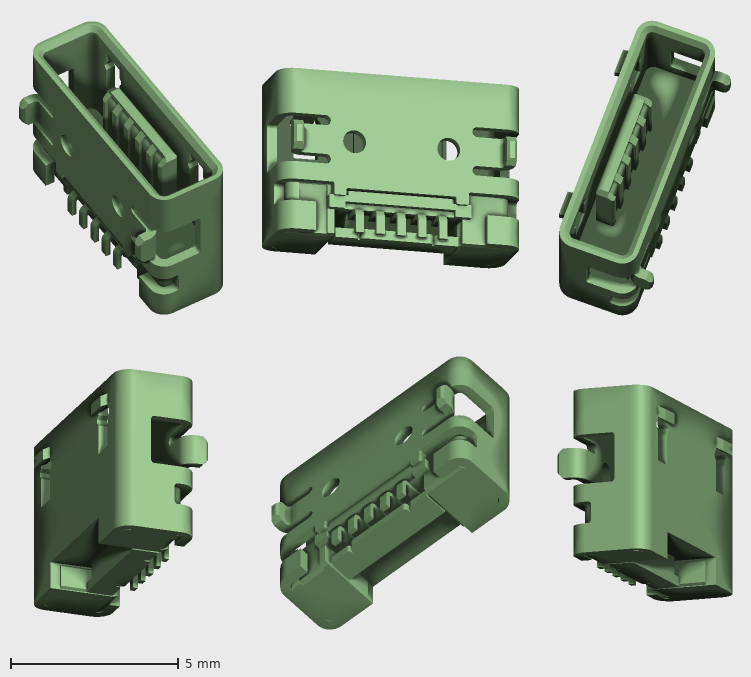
import cadquery as cq
import math


SHELL_WIDTH = 7.52
SHELL_DEPTH = 2.48
SHELL_HEIGHT = 5.0
WALL = 0.31
SHELL_CORNER = 0.505
MOUTH_CHAMFER = 0.16
HALF_WIDTH = SHELL_WIDTH / 2
INNER_HALF = HALF_WIDTH - WALL
INNER_BACK = SHELL_DEPTH - WALL

WINDOW_BOTTOM = 2.1
WINDOW_TOP = 3.6
WINDOW_BACK = 1.475
WINDOW_FILLET = 0.1
LEG_BOTTOM = 2.39
LEG_TOP = 3.29
SLOT_END = 2.195
LEG_BEND = 0.12
LEG_REACH = 0.5
LEG_TIP_CHAMFER = 0.19
LEG_EDGE_CHAMFER = 0.075
LEG_OUTER = INNER_HALF
LEG_INNER = LEG_OUTER - WALL
BEND_X = LEG_INNER - LEG_BEND

HOOK_TOP = 0.89
HOOK_END = 2.66
HOOK_GAP_TOP = 1.55
HOOK_GAP_BACK = 0.72
HOOK_GAP_FILLET = 0.105
TAB_OUTER = 2.08
TAB_INNER = 1.71
TAB_BOTTOM = 1.16
TAB_FILLET = 0.06
NOTCH_TOP = 1.38

HOLE_RADIUS = 0.35
HOLE_X = 1.46
HOLE_Z = 2.84

BACK_WINDOW_X = 2.38
BACK_WINDOW_HALF = 0.375
BACK_WINDOW_TOP = 4.53
BACK_WINDOW_BOTTOM = 2.86
RELIEF_TOP = 4.105
RELIEF_BOTTOM = 3.77
RELIEF_DEPTH = 0.105
LIP_REACH = 0.23
LIP_SLOPE = math.radians(26)
LIP_BEND = 0.3

HOUSING_FRONT = 0.33
HOUSING_TOP = HOOK_GAP_TOP
HOUSING_CORNER = 0.26
BEVEL_HEIGHT = 0.045
BEVEL_DEPTH = 0.15
SIDE_NOTCH_OUTER = 3.09
SIDE_NOTCH_INNER = 2.2
SIDE_NOTCH_BACK = 0.435
TUNNEL_HALF = 1.985
TUNNEL_TOP = 0.83
RIB_HEIGHT = 0.08
RIB_FRONT = 0.565
RIB_BOTTOM = 0.02
RIB_TOP = 0.78
RIB_BEVEL = 0.07
BLOCK_FRONT = 0.12
BLOCK_BOTTOM = 0.8
BLOCK_TOP = 1.195
CREST_HALF = 1.62
CREST_TOP = 1.34
BLOCK_RECESS_TOP = 1.0

SILL_TOP = 0.29
SILL_FRONT = 0.53
SILL_CENTER_FRONT = 0.46
SILL_BACK = 1.35
GROOVE_INNER = 1.12
GROOVE_OUTER = 1.17
GROOVE_DEPTH = 0.15
GROOVE_LIP = 0.12
WEDGE_HALF = 1.49
WEDGE_TOP_FRONT = 0.83
WEDGE_BOTTOM_FRONT = 1.13

TONGUE_HALF = 1.685
TONGUE_FRONT = 1.36
TONGUE_BACK = 1.96
TONGUE_TOP = 4.23
TONGUE_EDGE_FILLET = 0.1
TONGUE_BACK_ROUND = 0.19
TONGUE_END_CHAMFER = 0.15
TONGUE_END_DROP = 0.15
TOOTH_BACK = 1.58
TOOTH_TOP = 4.13
TOOTH_FRONT_TOP = 3.91
CONTACT_COUNT = 5
CONTACT_PITCH = 0.65
CONTACT_WIDTH = 0.4
CONTACT_FRONT = 1.46
CONTACT_TOP = 4.02
CONTACT_ROUND = 0.3
TAIL_WIDTH = 0.255
TAIL_THICKNESS = 0.15
TAIL_BEND = 0.28
TAIL_BOTTOM = 0.045

SELECT_MARGIN = 0.075


def block(x_range, y_range, z_range):
    """Axis-aligned box between two corners."""
    size = [high - low for low, high in (x_range, y_range, z_range)]
    corner = (x_range[0], y_range[0], z_range[0])
    return cq.Workplane("XY").box(*size, centered=False).translate(corner)


def around(x_range, y_range, z_range):
    """Selector for the edges lying within the given ranges."""
    ranges = (x_range, y_range, z_range)
    low = [start - SELECT_MARGIN for start, end in ranges]
    high = [end + SELECT_MARGIN for start, end in ranges]
    return cq.selectors.BoxSelector(low, high)


def both_sides(solid):
    """The solid together with its mirror image across X = 0."""
    return solid.union(solid.mirror("YZ"))


def front_outline(points, y_start, y_end):
    """Outline of (x, z) points extruded from y_start back to y_end."""
    plane = cq.Workplane("XZ", origin=(0, y_start, 0))
    return plane.polyline(points).close().extrude(y_start - y_end)


def side_sketch(x_start):
    """Workplane whose local axes are Y and Z, placed at x_start."""
    return cq.Workplane("YZ", origin=(x_start, 0, 0))


def shell_tube():
    center = (0, SHELL_DEPTH / 2)
    outer = (
        cq.Workplane("XY").center(*center)
        .rect(SHELL_WIDTH, SHELL_DEPTH).extrude(SHELL_HEIGHT)
        .edges("|Z").fillet(SHELL_CORNER)
    )
    bore = (
        cq.Workplane("XY").center(*center)
        .rect(2 * INNER_HALF, SHELL_DEPTH - 2 * WALL).extrude(SHELL_HEIGHT)
        .edges("|Z").fillet(SHELL_CORNER - WALL)
    )
    bore_rim = around(
        (-INNER_HALF, INNER_HALF), (WALL, INNER_BACK), (SHELL_HEIGHT, SHELL_HEIGHT)
    )
    return outer.cut(bore).faces(">Z").edges(bore_rim).chamfer(MOUTH_CHAMFER)


def side_opening(back, bottom, top, fillet):
    """Cutter for the -X side: through the side wall and the front corner."""
    cutter = block((-HALF_WIDTH, -BEND_X), (0, back), (bottom, top))
    return cutter.edges("|X and >Y").fillet(fillet)


def leg_slot(bottom, top):
    """Round-ended slot in the front wall beside a leg."""
    radius = (top - bottom) / 2
    end_x = -SLOT_END - radius
    slot = block((-HALF_WIDTH, end_x), (0, WALL), (bottom, top))
    round_end = (
        cq.Workplane("XZ", origin=(end_x, 0, bottom + radius)).circle(radius).extrude(-WALL)
    )
    return slot.union(round_end)


def front_bottom_cut():
    """Everything removed below the stepped lower edge of the front wall, except the hooks."""
    points = [
        (-HOOK_END, 0), (-HOOK_END, HOOK_GAP_TOP), (-TAB_OUTER, HOOK_GAP_TOP),
        (-TAB_OUTER, TAB_BOTTOM), (-TAB_INNER, TAB_BOTTOM), (-TAB_INNER, NOTCH_TOP),
        (TAB_INNER, NOTCH_TOP), (TAB_INNER, TAB_BOTTOM), (TAB_OUTER, TAB_BOTTOM),
        (TAB_OUTER, HOOK_GAP_TOP), (HOOK_END, HOOK_GAP_TOP), (HOOK_END, 0),
    ]
    cutter = front_outline(points, 0, WALL)
    tab_edges = around((-TAB_OUTER, TAB_OUTER), (0, WALL), (TAB_BOTTOM, HOOK_GAP_TOP))
    return cutter.edges("|Y").edges(tab_edges).fillet(TAB_FILLET)


def back_window():
    """Window in the back wall with a small relief notch on either side."""
    half = BACK_WINDOW_HALF
    wide = half + RELIEF_DEPTH
    right = [
        (half, BACK_WINDOW_BOTTOM), (half, RELIEF_BOTTOM),
        (wide, RELIEF_BOTTOM + RELIEF_DEPTH), (wide, RELIEF_TOP - RELIEF_DEPTH),
        (half, RELIEF_TOP), (half, BACK_WINDOW_TOP),
    ]
    left = [(-x, z) for x, z in reversed(right)]
    points = [(x - BACK_WINDOW_X, z) for x, z in right + left]
    return front_outline(points, INNER_BACK, SHELL_DEPTH)


def back_lip():
    """Strip that leaves the top edge of a back window and bends outward and down."""
    fall = math.tan(LIP_SLOPE)
    tip = SHELL_DEPTH + LIP_REACH
    tip_top = BACK_WINDOW_TOP - LIP_REACH * fall
    tip_bottom = tip_top - WALL / math.cos(LIP_SLOPE)
    turn = math.pi / 2 - LIP_SLOPE
    center_y = INNER_BACK + LIP_BEND
    bend_end_y = center_y - LIP_BEND * math.cos(turn)
    bend_end_z = tip_bottom + (tip - bend_end_y) * fall
    center_z = bend_end_z + LIP_BEND * math.sin(turn)
    bend_mid = (
        center_y - LIP_BEND * math.cos(turn / 2),
        center_z - LIP_BEND * math.sin(turn / 2),
    )
    top = BACK_WINDOW_TOP
    return (
        side_sketch(-BACK_WINDOW_X - BACK_WINDOW_HALF)
        .moveTo(SHELL_DEPTH, top).lineTo(tip, tip_top).lineTo(tip, tip_bottom)
        .lineTo(bend_end_y, bend_end_z).threePointArc(bend_mid, (INNER_BACK, center_z))
        .lineTo(INNER_BACK, top).close().extrude(2 * BACK_WINDOW_HALF)
    )


def solder_leg():
    """Leg that bends from the front wall to stand out along -Y, with a tapered tip."""
    outer_radius = LEG_BEND + WALL
    diagonal = math.sqrt(0.5)
    tip_shoulder = -LEG_REACH + LEG_EDGE_CHAMFER
    leg = (
        cq.Workplane("XY", origin=(0, 0, LEG_BOTTOM))
        .moveTo(-BEND_X, 0)
        .threePointArc(
            (-BEND_X - LEG_BEND * diagonal, -LEG_BEND * (1 - diagonal)), (-LEG_INNER, -LEG_BEND)
        )
        .lineTo(-LEG_INNER, tip_shoulder)
        .lineTo(-LEG_INNER - LEG_EDGE_CHAMFER, -LEG_REACH)
        .lineTo(-LEG_OUTER + LEG_EDGE_CHAMFER, -LEG_REACH)
        .lineTo(-LEG_OUTER, tip_shoulder)
        .lineTo(-LEG_OUTER, -LEG_BEND)
        .threePointArc(
            (-BEND_X - outer_radius * diagonal, -LEG_BEND + outer_radius * diagonal),
            (-BEND_X, WALL),
        )
        .close().extrude(LEG_TOP - LEG_BOTTOM)
    )
    taper = (
        side_sketch(-LEG_OUTER)
        .moveTo(SHELL_DEPTH, LEG_BOTTOM)
        .lineTo(-LEG_REACH + LEG_TIP_CHAMFER, LEG_BOTTOM)
        .lineTo(-LEG_REACH, LEG_BOTTOM + LEG_TIP_CHAMFER)
        .lineTo(-LEG_REACH, LEG_TOP - LEG_TIP_CHAMFER)
        .lineTo(-LEG_REACH + LEG_TIP_CHAMFER, LEG_TOP)
        .lineTo(SHELL_DEPTH, LEG_TOP)
        .close().extrude(LEG_OUTER)
    )
    return leg.intersect(taper)


def make_shell():
    window = side_opening(WINDOW_BACK, WINDOW_BOTTOM, WINDOW_TOP, WINDOW_FILLET)
    hook_gap = side_opening(HOOK_GAP_BACK, HOOK_TOP, HOOK_GAP_TOP, HOOK_GAP_FILLET)
    hook_gap = hook_gap.union(block((-HALF_WIDTH, -HOOK_END), (0, WALL), (HOOK_TOP, HOOK_GAP_TOP)))
    hole = (
        cq.Workplane("XZ", origin=(-HOLE_X, 0, HOLE_Z)).circle(HOLE_RADIUS).extrude(-WALL)
    )
    cutters = [
        window, leg_slot(WINDOW_BOTTOM, LEG_BOTTOM), leg_slot(LEG_TOP, WINDOW_TOP),
        hook_gap, hole, back_window(),
    ]
    shell = shell_tube().cut(front_bottom_cut())
    for cutter in cutters:
        shell = shell.cut(both_sides(cutter))
    shell = shell.cut(block((-TUNNEL_HALF, TUNNEL_HALF), (INNER_BACK, SHELL_DEPTH), (0, TUNNEL_TOP)))
    return shell.union(both_sides(solder_leg())).union(both_sides(back_lip()))


def make_sill():
    """Low bar across the tunnel, grooved at the front, and the wedge above it."""
    half = TUNNEL_HALF - RIB_HEIGHT
    bar = block((-half, half), (SILL_FRONT, SILL_BACK), (0, SILL_TOP))
    gap = block(
        (-GROOVE_OUTER, GROOVE_OUTER), (SILL_FRONT, SILL_FRONT + GROOVE_DEPTH), (0, SILL_TOP)
    )
    lips = around((-GROOVE_OUTER, GROOVE_OUTER), (SILL_FRONT, SILL_FRONT), (0, SILL_TOP))
    bar = bar.cut(gap).edges("|Z").edges(lips).fillet(GROOVE_LIP)
    center = block((-GROOVE_INNER, GROOVE_INNER), (SILL_CENTER_FRONT, SILL_BACK), (0, SILL_TOP))
    center = center.edges("|Z and <Y").fillet(GROOVE_LIP)
    wedge = (
        side_sketch(-WEDGE_HALF)
        .moveTo(WEDGE_TOP_FRONT, TUNNEL_TOP).lineTo(WEDGE_BOTTOM_FRONT, SILL_TOP)
        .lineTo(SILL_BACK, SILL_TOP).lineTo(SILL_BACK, TUNNEL_TOP)
        .close().extrude(2 * WEDGE_HALF)
    )
    return bar.union(center).union(wedge)


def tunnel_rib():
    """Rib along the -X wall of the tunnel, with a chamfered front and bevelled long edges."""
    wall_x = -TUNNEL_HALF
    face_x = wall_x + RIB_HEIGHT
    plan = (
        cq.Workplane("XY")
        .polyline([
            (wall_x, RIB_FRONT), (face_x, RIB_FRONT + RIB_HEIGHT),
            (face_x, INNER_BACK), (wall_x, INNER_BACK),
        ])
        .close().extrude(TUNNEL_TOP)
    )
    section = front_outline(
        [
            (wall_x, RIB_BOTTOM), (face_x, RIB_BOTTOM + RIB_BEVEL),
            (face_x, RIB_TOP - RIB_BEVEL), (wall_x, RIB_TOP),
        ],
        RIB_FRONT, INNER_BACK,
    )
    return plan.intersect(section)


def bottom_bevel(front):
    """Cutter for the bottom front edge of a housing face at the given Y."""
    return (
        side_sketch(-INNER_HALF)
        .moveTo(front, 0).lineTo(front + BEVEL_DEPTH, 0).lineTo(front, BEVEL_HEIGHT)
        .close().extrude(2 * INNER_HALF)
    )


def make_housing():
    body = block((-INNER_HALF, INNER_HALF), (HOUSING_FRONT, INNER_BACK), (0, HOUSING_TOP))
    body = body.edges("|Z").fillet(HOUSING_CORNER)
    notch_sides = (-SIDE_NOTCH_OUTER, -SIDE_NOTCH_INNER)
    side_notch = block(notch_sides, (HOUSING_FRONT, SIDE_NOTCH_BACK), (0, HOUSING_TOP))
    notch_bevel = bottom_bevel(SIDE_NOTCH_BACK).intersect(
        block(notch_sides, (HOUSING_FRONT, INNER_BACK), (0, HOUSING_TOP))
    )
    tunnel = block((-TUNNEL_HALF, TUNNEL_HALF), (HOUSING_FRONT, INNER_BACK), (0, TUNNEL_TOP))
    for cutter in (side_notch, bottom_bevel(HOUSING_FRONT), notch_bevel, tunnel):
        body = body.cut(cutter)

    step = (BLOCK_FRONT, HOUSING_FRONT)
    front_block = block((-SIDE_NOTCH_INNER, SIDE_NOTCH_INNER), step, (BLOCK_BOTTOM, BLOCK_TOP))
    crest = block((-CREST_HALF, CREST_HALF), step, (BLOCK_TOP, CREST_TOP))
    block_recess = block((-TAB_INNER, TAB_INNER), step, (BLOCK_BOTTOM, BLOCK_RECESS_TOP))
    front_block = front_block.union(crest).cut(block_recess)
    return body.union(front_block).union(both_sides(tunnel_rib())).union(make_sill())


def contact_centers():
    middle = (CONTACT_COUNT - 1) / 2
    return [(index - middle) * CONTACT_PITCH for index in range(CONTACT_COUNT)]


def contact_blade(x):
    """Contact strip whose top curves back to the tongue from its upright front face."""
    lean = math.acos(1 - (TOOTH_BACK - CONTACT_FRONT) / CONTACT_ROUND)
    center_y = CONTACT_FRONT + CONTACT_ROUND
    center_z = CONTACT_TOP - CONTACT_ROUND * math.sin(lean)
    arc_middle = (
        center_y - CONTACT_ROUND * math.cos(lean / 2),
        center_z + CONTACT_ROUND * math.sin(lean / 2),
    )
    return (
        side_sketch(x - CONTACT_WIDTH / 2)
        .moveTo(TOOTH_BACK, HOUSING_TOP).lineTo(CONTACT_FRONT, HOUSING_TOP)
        .lineTo(CONTACT_FRONT, center_z).threePointArc(arc_middle, (TOOTH_BACK, CONTACT_TOP))
        .close().extrude(CONTACT_WIDTH)
    )


def make_tongue():
    """Toothed tongue rising from the housing floor, with the contacts lying between its teeth."""
    width = 2 * TONGUE_HALF
    body = (
        side_sketch(-TONGUE_HALF)
        .moveTo(TONGUE_BACK, HOUSING_TOP).lineTo(TONGUE_FRONT, HOUSING_TOP)
        .lineTo(TONGUE_FRONT, TOOTH_FRONT_TOP).lineTo(TOOTH_BACK, TOOTH_TOP)
        .lineTo(TOOTH_BACK, TONGUE_TOP).lineTo(TONGUE_BACK, TONGUE_TOP)
        .close().extrude(width)
    )
    body = body.edges("|X and >Y and >Z").fillet(TONGUE_BACK_ROUND)
    shoulder = TONGUE_TOP - TONGUE_END_DROP
    flat_half = TONGUE_HALF - TONGUE_END_CHAMFER
    profile = front_outline(
        [
            (-TONGUE_HALF, HOUSING_TOP), (-TONGUE_HALF, shoulder), (-flat_half, TONGUE_TOP),
            (flat_half, TONGUE_TOP), (TONGUE_HALF, shoulder), (TONGUE_HALF, HOUSING_TOP),
        ],
        TONGUE_FRONT, TONGUE_BACK,
    ).edges("|Z").fillet(TONGUE_EDGE_FILLET)
    tongue = body.intersect(profile)
    for x in contact_centers():
        sides = (x - CONTACT_WIDTH / 2, x + CONTACT_WIDTH / 2)
        groove = block(sides, (TONGUE_FRONT, TOOTH_BACK), (HOUSING_TOP, TONGUE_TOP))
        contact = contact_blade(x)
        tongue = tongue.cut(groove).union(contact)
    return tongue


def contact_tail(x):
    """Contact end that leaves the tunnel roof and bends down to the solder pad."""
    inner_bend = TAIL_BEND - TAIL_THICKNESS
    bend_z = TUNNEL_TOP - TAIL_BEND
    diagonal = math.sqrt(0.5)
    return (
        side_sketch(x - TAIL_WIDTH / 2)
        .moveTo(0, TAIL_BOTTOM).lineTo(0, bend_z)
        .threePointArc(
            (TAIL_BEND * (1 - diagonal), bend_z + TAIL_BEND * diagonal), (TAIL_BEND, TUNNEL_TOP)
        )
        .lineTo(SILL_BACK, TUNNEL_TOP).lineTo(SILL_BACK, TUNNEL_TOP - TAIL_THICKNESS)
        .lineTo(TAIL_BEND, TUNNEL_TOP - TAIL_THICKNESS)
        .threePointArc(
            (TAIL_BEND - inner_bend * diagonal, bend_z + inner_bend * diagonal),
            (TAIL_THICKNESS, bend_z),
        )
        .lineTo(TAIL_THICKNESS, TAIL_BOTTOM).close().extrude(TAIL_WIDTH)
    )


result = make_shell().union(make_housing()).union(make_tongue())
for contact_x in contact_centers():
    result = result.union(contact_tail(contact_x))